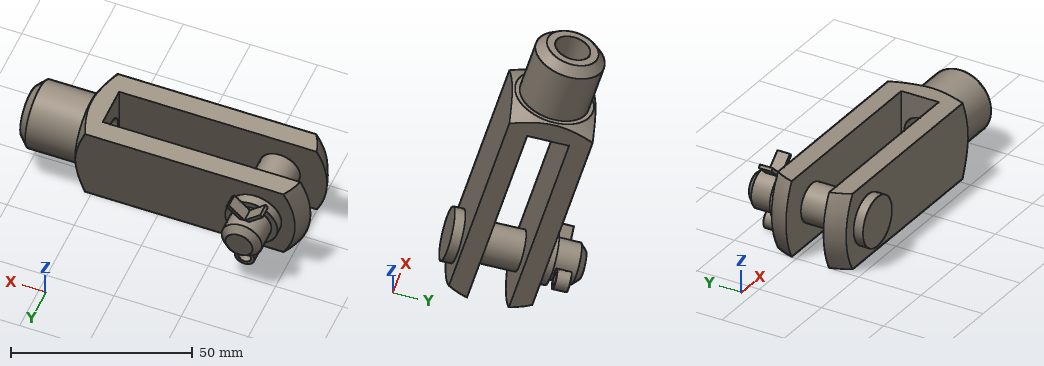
import cadquery as cq
import math

total_length = 86.0
body_width = 24.0
body_end = 68.0
slot_width = 12.0
slot_depth = 61.9
tip_sphere_radius = 25.8
envelope_margin = 0.9
end_face_radius = 11.35
end_cone_angle = 30.0

shank_diameter = 20.0
shank_chamfer = 2.6
bore_diameter = 10.15

pin_x = 14.0
pin_diameter = 12.0
collar_diameter = 15.6
collar_thickness = 3.0
pin_end = 24.0
pin_chamfer = 2.0

cotter_y = 18.0
cotter_width = 4.0
strip_thickness = 1.0
eye_radius = 2.9
split_z = pin_diameter / 2
leg_length = 6.3
leg_angle = 42.0

half_width = body_width / 2
corner_radius = half_width * math.sqrt(2)


def fork_envelope():
    """Solid of revolution about X: spherical tips, conical back edge."""
    sphere_x = math.sqrt(tip_sphere_radius**2 - (slot_width / 2) ** 2)
    outer_radius = corner_radius + envelope_margin
    tip_x = sphere_x - tip_sphere_radius
    rim_x = sphere_x - math.sqrt(tip_sphere_radius**2 - outer_radius**2)
    mid_angle = math.asin(outer_radius / tip_sphere_radius) / 2
    mid_x = sphere_x - tip_sphere_radius * math.cos(mid_angle)
    mid_radius = tip_sphere_radius * math.sin(mid_angle)
    cone_length = (outer_radius - end_face_radius) * math.tan(math.radians(end_cone_angle))
    return (
        cq.Workplane("XY")
        .moveTo(tip_x, 0)
        .threePointArc((mid_x, mid_radius), (rim_x, outer_radius))
        .lineTo(body_end - cone_length, outer_radius)
        .lineTo(body_end, end_face_radius)
        .lineTo(body_end, 0)
        .close()
        .revolve(360, (0, 0, 0), (1, 0, 0))
    )


def fork():
    """Slotted square body with its bored shank."""
    blank_start = -slot_width
    blank = cq.Workplane("YZ", origin=(blank_start, 0, 0)).rect(body_width, body_width)
    body = blank.extrude(body_end - blank_start).intersect(fork_envelope())
    shank = (
        cq.Workplane("YZ", origin=(slot_depth, 0, 0))
        .circle(shank_diameter / 2)
        .extrude(total_length - slot_depth)
        .faces(">X")
        .chamfer(shank_chamfer)
    )
    slot = cq.Workplane("YZ", origin=(blank_start, 0, 0)).rect(slot_width, body_width)
    bore = cq.Workplane("YZ", origin=(slot_depth, 0, 0)).circle(bore_diameter / 2)
    return (
        body.union(shank)
        .cut(slot.extrude(slot_depth - blank_start))
        .cut(bore.extrude(total_length - slot_depth))
    )


def pin_disc(diameter, start_y, end_y):
    """Cylinder on the pin axis between two Y positions."""
    plane = cq.Workplane("XZ", origin=(pin_x, start_y, 0))
    return plane.circle(diameter / 2).extrude(start_y - end_y)


def clevis_pin():
    """Pin with a head on one side of the fork and a collar on the other."""
    head_end = -half_width - collar_thickness
    shaft = pin_disc(pin_diameter, head_end, pin_end).faces(">Y").chamfer(pin_chamfer)
    head = pin_disc(collar_diameter, head_end, -half_width)
    collar = pin_disc(collar_diameter, half_width, half_width + collar_thickness)
    return shaft.union(head).union(collar)


def cotter():
    """Ring eye below the pin, doubled strip through it, two splayed legs above."""
    plane = cq.Workplane("XZ", origin=(pin_x, cotter_y + cotter_width / 2, 0))
    eye_z = -half_width + eye_radius
    eye = (
        plane.center(0, eye_z)
        .circle(eye_radius)
        .circle(eye_radius - strip_thickness)
        .extrude(cotter_width)
    )
    stem_bottom = eye_z + eye_radius - strip_thickness / 2
    stem = (
        cq.Workplane("XY", origin=(pin_x, cotter_y, stem_bottom))
        .rect(2 * strip_thickness, cotter_width)
        .extrude(split_z - stem_bottom)
    )
    bent_strip = eye.union(stem)
    along_x = math.cos(math.radians(leg_angle))
    along_z = math.sin(math.radians(leg_angle))
    for side in (-1, 1):
        tip = (side * leg_length * along_x, split_z + leg_length * along_z)
        offset = (side * strip_thickness * along_z, -strip_thickness * along_x)
        leg = (
            cq.Workplane("XZ", origin=(pin_x, cotter_y + cotter_width / 2, 0))
            .moveTo(0, split_z)
            .lineTo(*tip)
            .lineTo(tip[0] + offset[0], tip[1] + offset[1])
            .lineTo(offset[0], split_z + offset[1])
            .close()
            .extrude(cotter_width)
        )
        bent_strip = bent_strip.union(leg)
    return bent_strip


result = fork().union(clevis_pin()).union(cotter())